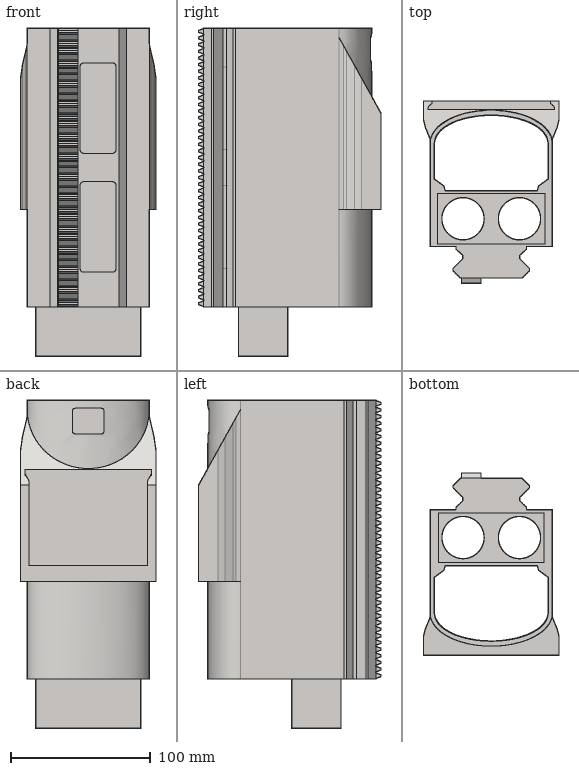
import cadquery as cq

BODY_HEIGHT = 199.7
BODY_HALF_WIDTH = 43.7
ARCH_START_Y = 74.2
ARCH_RISE = 23.5

BAY_HALF_WIDTH = 40.6
BAY_ARCH_RISE = 20.0
BAY_FRONT_Y = 40.2
BAY_FRONT_HALF_WIDTH = 33.0
BAY_CORNER_TOP_Y = 48.5
BAY_CORNER_MID = (33.8, 43.5)

PLUG_LENGTH = 35.2
PLUG_WIDTH = 75.2
PLUG_DEPTH = 35.5
SOCKET_WIDTH = 76.5
SOCKET_DEPTH = 36.0
SOCKET_FLOOR_GAP = 0.7
SOCKET_Y = 20.0
TUBE_RADIUS = 15.0
TUBE_X = 20.2

RAIL_DEPTH = 22.5
RAIL_BASE_HALF_WIDTH = 25.4
RAIL_NECK_HALF_WIDTH = 20.5
RAIL_MAX_HALF_WIDTH = 27.5
RAIL_BASE_LAND = 1.6
RAIL_NECK_START = 6.3
RAIL_NECK_END = 8.7
RAIL_MAX_LAND = 1.5

POCKET_WIDTH = 25.8
POCKET_HEIGHT = 64.8
POCKET_X = 7.0
POCKET_SPACING = 85.0
POCKET_RADIUS = 2.8
POCKET_DEPTH = 23.7

TOOTH_COUNT = 42
TOOTH_PITCH = BODY_HEIGHT / TOOTH_COUNT
TOOTH_HEIGHT = 3.8
TOOTH_ROOT = 4.2
TOOTH_TIP = 1.5
RACK_X = -21.4
RACK_WIDTH = 14.0

BRACKET_BACK_Y = 104.3
BRACKET_HALF_WIDTH = 97.0 / 2
BRACKET_FLARE_END_Y = 90.5
BRACKET_FLARE = [(44.0, 77.3), (44.9, 79.6), (47.2, 85.3)]
BRACKET_BOTTOM = 69.8
SLOPE_TOP = 193.0
SLOPE_BOTTOM = 138.9

SLOT_FLOOR = 81.3
SLOT_BASE_Y = 98.2
SLOT_BASE_HALF_WIDTH = 45.3
SLOT_LIP = 3.0
SLOT_LAND = 1.53

WINDOW_WIDTH = 22.8
WINDOW_HEIGHT = 18.3
WINDOW_TOP_GAP = 5.9
WINDOW_RADIUS = 2.0


def arch_outline(plan, half_width, rise):
    """Draw the half ellipse from the right springing point over to the left one."""
    return plan.lineTo(half_width, ARCH_START_Y).ellipseArc(
        half_width, rise, 0, 180, startAtCurrent=True)


def make_body():
    plan = cq.Workplane("XY").moveTo(-BODY_HALF_WIDTH, 0).lineTo(BODY_HALF_WIDTH, 0)
    return arch_outline(plan, BODY_HALF_WIDTH, ARCH_RISE).close().extrude(BODY_HEIGHT)


def make_bay():
    """Cutter for the bay; its front corners step inwards."""
    mid_x, mid_y = BAY_CORNER_MID
    plan = (
        cq.Workplane("XY")
        .moveTo(-BAY_HALF_WIDTH, BAY_CORNER_TOP_Y)
        .lineTo(-mid_x, mid_y)
        .lineTo(-BAY_FRONT_HALF_WIDTH, BAY_FRONT_Y)
        .lineTo(BAY_FRONT_HALF_WIDTH, BAY_FRONT_Y)
        .lineTo(mid_x, mid_y)
        .lineTo(BAY_HALF_WIDTH, BAY_CORNER_TOP_Y)
    )
    return arch_outline(plan, BAY_HALF_WIDTH, BAY_ARCH_RISE).close().extrude(BODY_HEIGHT)


def make_plug():
    return (
        cq.Workplane("XY")
        .center(0, SOCKET_Y)
        .rect(PLUG_WIDTH, PLUG_DEPTH)
        .extrude(-PLUG_LENGTH)
    )


def make_socket():
    return (
        cq.Workplane("XY", origin=(0, SOCKET_Y, BODY_HEIGHT))
        .rect(SOCKET_WIDTH, SOCKET_DEPTH)
        .extrude(-PLUG_LENGTH - SOCKET_FLOOR_GAP)
    )


def make_tubes():
    return (
        cq.Workplane("XY", origin=(0, SOCKET_Y, -PLUG_LENGTH))
        .pushPoints([(-TUBE_X, 0), (TUBE_X, 0)])
        .circle(TUBE_RADIUS)
        .extrude(PLUG_LENGTH + BODY_HEIGHT)
    )


def make_rail():
    max_start = RAIL_NECK_END + RAIL_MAX_HALF_WIDTH - RAIL_NECK_HALF_WIDTH
    max_end = max_start + RAIL_MAX_LAND
    face_half_width = RAIL_MAX_HALF_WIDTH - (RAIL_DEPTH - max_end)
    right_side = [
        (RAIL_BASE_HALF_WIDTH, 0),
        (RAIL_BASE_HALF_WIDTH, -RAIL_BASE_LAND),
        (RAIL_NECK_HALF_WIDTH, -RAIL_NECK_START),
        (RAIL_NECK_HALF_WIDTH, -RAIL_NECK_END),
        (RAIL_MAX_HALF_WIDTH, -max_start),
        (RAIL_MAX_HALF_WIDTH, -max_end),
        (face_half_width, -RAIL_DEPTH),
    ]
    left_side = [(-x, y) for x, y in reversed(right_side)]
    return cq.Workplane("XY").polyline(right_side + left_side).close().extrude(BODY_HEIGHT)


def make_pockets():
    return (
        cq.Workplane("XZ", origin=(POCKET_X, -RAIL_DEPTH, BODY_HEIGHT / 2))
        .rarray(2.3, POCKET_SPACING, 1, 2)
        .rect(POCKET_WIDTH, POCKET_HEIGHT)
        .extrude(-POCKET_DEPTH)
        .edges("|Y")
        .fillet(POCKET_RADIUS)
    )


def make_rack():
    """Trapezoid teeth standing on the rail face."""
    tip_y = -RAIL_DEPTH - TOOTH_HEIGHT
    teeth = cq.Workplane("YZ", origin=(RACK_X, 0, 0))
    for index in range(TOOTH_COUNT):
        middle = (index + 0.5) * TOOTH_PITCH
        teeth = teeth.polyline([
            (-RAIL_DEPTH, middle - TOOTH_ROOT / 2),
            (tip_y, middle - TOOTH_TIP / 2),
            (tip_y, middle + TOOTH_TIP / 2),
            (-RAIL_DEPTH, middle + TOOTH_ROOT / 2),
        ]).close()
    return teeth.extrude(RACK_WIDTH)


def make_bracket():
    """Block flaring out of the body sides in S-shaped steps of flats, with a sloped top."""
    right_side = [(BODY_HALF_WIDTH, ARCH_START_Y)] + BRACKET_FLARE + [
        (BRACKET_HALF_WIDTH, BRACKET_FLARE_END_Y),
        (BRACKET_HALF_WIDTH, BRACKET_BACK_Y),
    ]
    left_side = [(-x, y) for x, y in reversed(right_side)]
    flare = cq.Workplane("XY").polyline(right_side + left_side).close().extrude(BODY_HEIGHT)
    side = (
        cq.Workplane("YZ")
        .polyline([
            (ARCH_START_Y, BRACKET_BOTTOM),
            (BRACKET_BACK_Y, BRACKET_BOTTOM),
            (BRACKET_BACK_Y, SLOPE_BOTTOM),
            (ARCH_START_Y, SLOPE_TOP),
        ])
        .close()
        .extrude(BRACKET_HALF_WIDTH, both=True)
    )
    return flare.intersect(side)


def make_mounting_slot():
    """Cutter for the slot: wide at its base, narrowing at 45 degrees towards the back."""
    mouth_half_width = SLOT_BASE_HALF_WIDTH - SLOT_LIP
    lip_start = SLOT_BASE_Y + SLOT_LAND
    right_side = [
        (SLOT_BASE_HALF_WIDTH, SLOT_BASE_Y),
        (SLOT_BASE_HALF_WIDTH, lip_start),
        (mouth_half_width, lip_start + SLOT_LIP),
        (mouth_half_width, BRACKET_BACK_Y),
    ]
    left_side = [(-x, y) for x, y in reversed(right_side)]
    return (
        cq.Workplane("XY", origin=(0, 0, SLOT_FLOOR))
        .polyline(right_side + left_side)
        .close()
        .extrude(BODY_HEIGHT - SLOT_FLOOR)
    )


def make_window():
    middle = BODY_HEIGHT - WINDOW_TOP_GAP - WINDOW_HEIGHT / 2
    return (
        cq.Workplane("XZ", origin=(0, ARCH_START_Y, middle))
        .rect(WINDOW_WIDTH, WINDOW_HEIGHT)
        .extrude(ARCH_START_Y - BRACKET_BACK_Y)
        .edges("|Y")
        .fillet(WINDOW_RADIUS)
    )


result = (
    make_body()
    .union(make_bracket())
    .union(make_rail())
    .union(make_plug())
    .cut(make_bay())
    .cut(make_mounting_slot())
    .cut(make_window())
    .cut(make_socket())
    .cut(make_tubes())
    .cut(make_pockets())
    .union(make_rack())
)